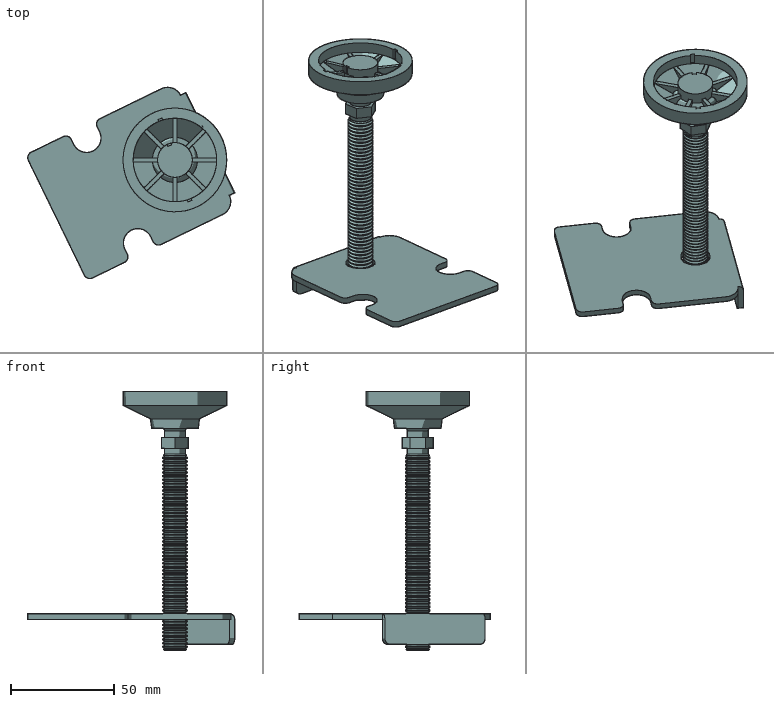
import cadquery as cq
import math


TOTAL_HEIGHT = 125.6

PLATE_ANGLE = 26.0
PLATE_WIDTH = 67.8
PLATE_BACK = -63.9
PLATE_FRONT = 16.2
PLATE_TOP = 18.0
SHEET = 2.9
FRONT_CORNER_R = 7.0
SMALL_R = 3.0
NOTCH_R = 6.9
NOTCH_CENTRE = -33.8
NOTCH_DEPTH = 12.5
STEM_HOLE_R = 7.0
FLANGE_WIDTH = 54.0
FLANGE_BOTTOM = 3.0

PITCH = 1.8
THREAD_R = 6.0
ROOT_R = 5.0
CREST_FLAT = 0.4
FLANK = (PITCH - CREST_FLAT) / 2
FULL_TEETH = 53
LEAD_HEIGHT = 1.0
LEAD_R = 5.7
THREAD_TOP = FULL_TEETH * PITCH + 2 * LEAD_HEIGHT
SHANK_R = 5.1
SHANK_TOP = 106.4
HEX_BOTTOM = 98.0
HEX_HEIGHT = 5.3
HEX_ACROSS_FLATS = 13.0
BALL_R = 6.4
BALL_CENTRE = 110.7

RIM_R = 25.1
RIM_BOTTOM = 118.7
COLLAR_TOP = 112.3
COLLAR_TOP_R = 11.8
COLLAR_MID_R = 11.7
COLLAR_BOTTOM = 107.6
COLLAR_BOTTOM_R = 11.3
CONE_SMALL_R = 12.0
RECESS_R = 20.2
RECESS_FLOOR = 120.6
SHOULDER_R = 10.9
SHOULDER_FOOT = 116.2
HUB_R = 8.4
HUB_TOP = 124.3
RIB_COUNT = 8
RIB_WIDTH = 2.0
KEYWAY_ANGLE = 110.0
KEYWAY_WIDTH = 2.0
KEYWAY_DEPTH = 1.0


def revolve_about_z(profile):
    """Turn a closed (radius, height) outline about the Z axis."""
    return profile.close().revolve(360, (0, 0, 0), (0, 1, 0))


def plate_box(u_min, u_max, width, z_min, z_max):
    """Box centred on the plate's long axis."""
    return (
        cq.Workplane("XY", origin=((u_min + u_max) / 2, 0, z_min))
        .rect(u_max - u_min, width)
        .extrude(z_max - z_min)
    )


def side_notch(side):
    """Round-bottomed notch cut in from one long edge."""
    edge_v = side * PLATE_WIDTH / 2
    centre_v = side * (PLATE_WIDTH / 2 - NOTCH_DEPTH + NOTCH_R)
    bottom_v = centre_v - side * NOTCH_R
    return (
        cq.Workplane("XY", origin=(0, 0, PLATE_TOP - SHEET))
        .moveTo(NOTCH_CENTRE - NOTCH_R, edge_v)
        .lineTo(NOTCH_CENTRE - NOTCH_R, centre_v)
        .threePointArc((NOTCH_CENTRE, bottom_v), (NOTCH_CENTRE + NOTCH_R, centre_v))
        .lineTo(NOTCH_CENTRE + NOTCH_R, edge_v)
        .close()
        .extrude(SHEET)
    )


def vertical_edges_at(body, u_positions):
    """Vertical edges on the plate's long sides at the given positions along the plate."""
    tolerance = 0.01

    def matches(edge):
        centre = edge.Center()
        on_side = abs(abs(centre.y) - PLATE_WIDTH / 2) < tolerance
        return on_side and any(abs(centre.x - u) < tolerance for u in u_positions)

    return body.edges("|Z").filter(matches)


def make_base_plate():
    plate_bottom = PLATE_TOP - SHEET
    flange_face = PLATE_FRONT + SHEET

    plate = plate_box(PLATE_BACK, PLATE_FRONT, PLATE_WIDTH, plate_bottom, PLATE_TOP)
    for side in (-1, 1):
        plate = plate.cut(side_notch(side))
    plate = vertical_edges_at(plate, [PLATE_FRONT]).fillet(FRONT_CORNER_R)
    notch_sides = [NOTCH_CENTRE - NOTCH_R, NOTCH_CENTRE + NOTCH_R]
    plate = vertical_edges_at(plate, [PLATE_BACK, *notch_sides]).fillet(SMALL_R)

    flange = plate_box(PLATE_FRONT, flange_face, FLANGE_WIDTH, FLANGE_BOTTOM, plate_bottom)
    flange = flange.edges("|X and <Z").fillet(SMALL_R)

    bend = (
        cq.Workplane("XZ", origin=(0, FLANGE_WIDTH / 2, 0))
        .moveTo(PLATE_FRONT, plate_bottom)
        .lineTo(flange_face, plate_bottom)
        .radiusArc((PLATE_FRONT, PLATE_TOP), -SHEET)
        .close()
        .extrude(FLANGE_WIDTH)
    )

    hole = cq.Workplane("XY").circle(STEM_HOLE_R).extrude(TOTAL_HEIGHT)
    sheet = plate.union(bend).union(flange).cut(hole)
    return sheet.rotate((0, 0, 0), (0, 0, 1), PLATE_ANGLE)


def make_ball():
    return cq.Workplane("XY", origin=(0, 0, BALL_CENTRE)).sphere(BALL_R)


def make_stem():
    lead_peak = LEAD_R - ROOT_R
    outline = [(0, 0), (ROOT_R, 0), (LEAD_R, lead_peak), (ROOT_R, LEAD_HEIGHT)]
    for tooth in range(FULL_TEETH):
        z = LEAD_HEIGHT + tooth * PITCH
        outline += [
            (THREAD_R, z + FLANK),
            (THREAD_R, z + FLANK + CREST_FLAT),
            (ROOT_R, z + PITCH),
        ]
    outline += [
        (LEAD_R, THREAD_TOP - lead_peak),
        (ROOT_R, THREAD_TOP),
        (SHANK_R, THREAD_TOP),
        (SHANK_R, SHANK_TOP),
        (0, SHANK_TOP),
    ]
    shaft = revolve_about_z(cq.Workplane("XZ").polyline(outline))

    across_corners = HEX_ACROSS_FLATS / math.cos(math.pi / 6)
    hexagon = (
        cq.Workplane("XY", origin=(0, 0, HEX_BOTTOM))
        .polygon(6, across_corners)
        .extrude(HEX_HEIGHT)
        .rotate((0, 0, 0), (0, 0, 1), 90)
    )
    return shaft.union(hexagon).union(make_ball())


def make_cup_body():
    """Turned shape of the foot cup, with a flat-topped hub inside a conical recess."""
    shoulder_round = SHOULDER_R - HUB_R
    return revolve_about_z(
        cq.Workplane("XZ")
        .moveTo(0, COLLAR_BOTTOM)
        .lineTo(COLLAR_BOTTOM_R, COLLAR_BOTTOM)
        .threePointArc((COLLAR_MID_R, (COLLAR_BOTTOM + COLLAR_TOP) / 2), (COLLAR_TOP_R, COLLAR_TOP))
        .lineTo(CONE_SMALL_R, COLLAR_TOP)
        .lineTo(RIM_R, RIM_BOTTOM)
        .lineTo(RIM_R, TOTAL_HEIGHT)
        .lineTo(RECESS_R, TOTAL_HEIGHT)
        .lineTo(RECESS_R, RECESS_FLOOR)
        .lineTo(SHOULDER_R, SHOULDER_FOOT)
        .radiusArc((HUB_R, SHOULDER_FOOT + shoulder_round), -shoulder_round)
        .lineTo(HUB_R, HUB_TOP)
        .lineTo(0, HUB_TOP)
    )


def keyway(inner_r, outer_r, angle):
    """Upright groove from the top of the cup to the foot of the recess wall."""
    return (
        cq.Workplane("XY", origin=((inner_r + outer_r) / 2, 0, RECESS_FLOOR))
        .rect(outer_r - inner_r, KEYWAY_WIDTH)
        .extrude(TOTAL_HEIGHT - RECESS_FLOOR)
        .rotate((0, 0, 0), (0, 0, 1), angle)
    )


def make_foot_cup():
    cup = make_cup_body()

    rib_outer_r = (RECESS_R + RIM_R) / 2
    rib_blade = (
        cq.Workplane("XZ", origin=(0, RIB_WIDTH / 2, 0))
        .moveTo(HUB_R / 2, RECESS_FLOOR)
        .lineTo(HUB_R / 2, SHOULDER_FOOT)
        .lineTo(SHOULDER_R, SHOULDER_FOOT)
        .lineTo(rib_outer_r, RIM_BOTTOM)
        .lineTo(rib_outer_r, RECESS_FLOOR)
        .close()
        .extrude(RIB_WIDTH)
    )
    for rib in range(RIB_COUNT):
        cup = cup.union(rib_blade.rotate((0, 0, 0), (0, 0, 1), rib * 360 / RIB_COUNT))

    for angle in (KEYWAY_ANGLE, KEYWAY_ANGLE + 180):
        cup = cup.cut(keyway(RECESS_R - KEYWAY_DEPTH, RECESS_R + KEYWAY_DEPTH, angle))
    cup = cup.cut(keyway(HUB_R - KEYWAY_DEPTH, HUB_R + KEYWAY_DEPTH, KEYWAY_ANGLE))

    return cup.cut(make_ball())


base_plate = make_base_plate()
stem = make_stem()
foot_cup = make_foot_cup()

result = cq.Compound.makeCompound([base_plate.val(), stem.val(), foot_cup.val()])